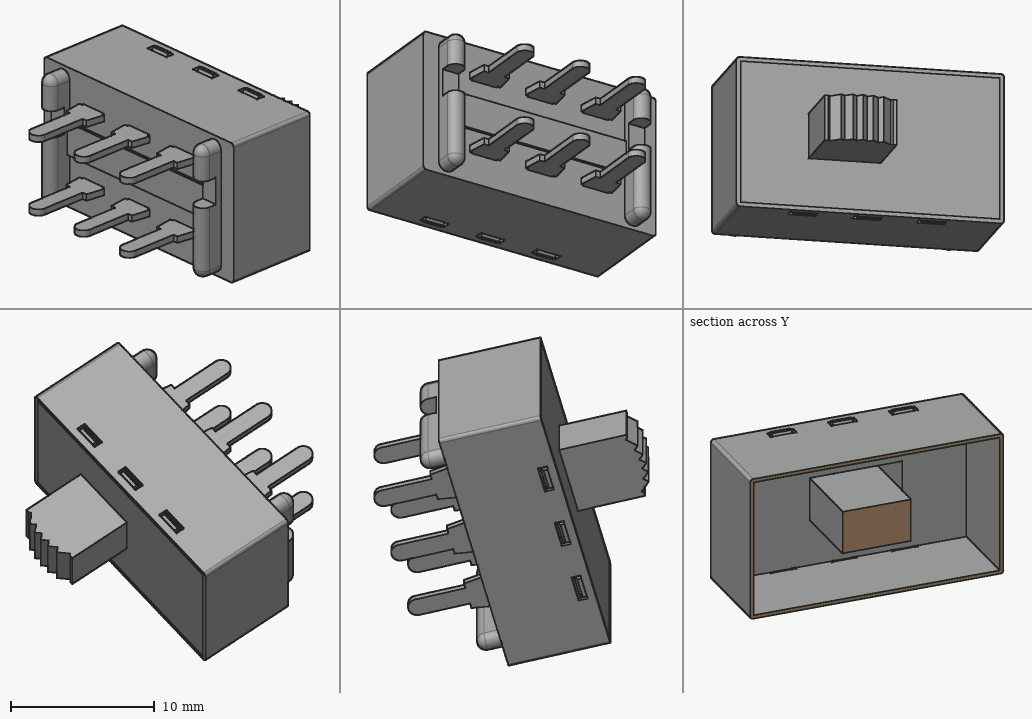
import cadquery as cq


housing_width = 19.13
housing_depth = 7.3
housing_height = 10.79
corner_radius = 0.25
wall = 0.3

cavity_width = housing_width - 2 * wall
cavity_height = housing_height - 2 * wall

column_pitch = 4.6
column_places = [-column_pitch, 0.0, column_pitch]

window_width = 1.95
window_length = 0.65
window_from_back = 0.6
window_back = housing_depth - window_from_back
window_front = window_back - window_length

cover_thickness = 1.1
cover_front = housing_depth - cover_thickness
lug_width = 1.5
lug_flat = 0.29
lug_proud = 0.05
lug_rise = wall + lug_proud

rib_width = 1.32
rib_radius = rib_width / 2
rib_length = 10.18
rib_reach = 1.78
rib_offset = 7.65
notch_floor = 0.5
notch_bottom = 0.44
notch_height = 2.07

strip_height = 2.53
strip_proud = 0.21

row_offset = 2.85
terminal_thickness = 0.5
neck_width = 2.07
neck_length = 0.13
shoulder_width = 2.5
shoulder_end = 1.65
pin_width = 1.3
pin_reach = 5.91

handle_width = 5.15
handle_height = 3.23
handle_offset = 1.84
grip_half = [
    (handle_width / 2, 4.82),
    (2.31, 4.82),
    (2.18, 4.69),
    (1.51, 5.35),
    (1.2, 5.05),
    (0.73, 5.53),
    (0.38, 5.18),
]
grip_crest = 5.59

carrier_width = handle_width
carrier_height = handle_height


def block(width, height, y_start, y_end, x=0.0, z=0.0):
    """Box centred at (x, z) that spans y_start to y_end."""
    middle = (x, (y_start + y_end) / 2, z)
    return cq.Workplane("XY").box(width, y_end - y_start, height).translate(middle)


def make_rib(x):
    """Standoff with round ends and a fully rounded tip, notched across."""
    straight = rib_length - rib_width
    axis_y = rib_radius - rib_reach
    body = (
        cq.Workplane("XZ")
        .center(x, 0)
        .slot2D(rib_length, rib_width, 90)
        .extrude(-axis_y)
    )
    tip_plane = cq.Plane(origin=(x, axis_y, -straight / 2), xDir=(0, -1, 0), normal=(0, 0, 1))
    tip = cq.Workplane(tip_plane).circle(rib_radius).extrude(straight)
    body = body.union(tip)
    for end in (-straight / 2, straight / 2):
        body = body.union(cq.Workplane("XY").sphere(rib_radius).translate((x, axis_y, end)))
    notch_middle = notch_bottom + notch_height / 2
    return body.cut(block(rib_width, notch_height, -rib_reach, -notch_floor, x, notch_middle))


def make_terminal(x, z):
    """Flat terminal: short neck, tapered shoulder and round-tipped pin."""
    pin_half = pin_width / 2
    round_start = pin_half - pin_reach
    return (
        cq.Workplane("XY", origin=(x, 0, z))
        .moveTo(-neck_width / 2, 0)
        .lineTo(-neck_width / 2, -neck_length)
        .lineTo(-shoulder_width / 2, -neck_length)
        .lineTo(-neck_width / 2, -shoulder_end)
        .lineTo(-pin_half, -shoulder_end)
        .lineTo(-pin_half, round_start)
        .threePointArc((0, -pin_reach), (pin_half, round_start))
        .lineTo(pin_half, -shoulder_end)
        .lineTo(neck_width / 2, -shoulder_end)
        .lineTo(shoulder_width / 2, -neck_length)
        .lineTo(neck_width / 2, -neck_length)
        .lineTo(neck_width / 2, 0)
        .close()
        .extrude(terminal_thickness / 2, both=True)
    )


def make_housing():
    """Cup with windows, ribs, strip and terminals."""
    body = block(housing_width, housing_height, 0, housing_depth).edges("|Y").fillet(corner_radius)
    body = body.cut(block(cavity_width, cavity_height, wall, housing_depth))
    for x in column_places:
        body = body.cut(block(window_width, housing_height, window_front, window_back, x))
    body = body.union(block(2 * rib_offset, strip_height, -strip_proud, 0))
    for x in (-rib_offset, rib_offset):
        body = body.union(make_rib(x))
    for x in column_places:
        for z in (-row_offset, row_offset):
            body = body.union(make_terminal(x, z))
    return body


def make_lug(x):
    """Snap lug on the upper side of the cover, ramped towards -Y."""
    base = cavity_height / 2
    return (
        cq.Workplane("YZ", origin=(x, 0, 0))
        .moveTo(window_back, base)
        .lineTo(window_back, base + lug_rise)
        .lineTo(window_back - lug_flat, base + lug_rise)
        .lineTo(cover_front, base)
        .close()
        .extrude(lug_width / 2, both=True)
    )


def make_cover():
    """Plate that closes the housing, with a hole for the handle and lugs in the windows."""
    body = block(cavity_width, cavity_height, cover_front, housing_depth)
    for x in column_places:
        lug = make_lug(x)
        body = body.union(lug).union(lug.mirror("XY"))
    return body.cut(block(handle_width, handle_height, cover_front, housing_depth, handle_offset))


def make_handle():
    """Post through the cover with a serrated grip."""
    left = [(-x, housing_depth + height) for x, height in grip_half]
    right = [(x, housing_depth + height) for x, height in reversed(grip_half)]
    crest = (0, housing_depth + grip_crest)
    foot_left = (-handle_width / 2, cover_front)
    foot_right = (handle_width / 2, cover_front)
    return (
        cq.Workplane("XY", origin=(handle_offset, 0, 0))
        .polyline([foot_left, *left, crest, *right, foot_right])
        .close()
        .extrude(handle_height / 2, both=True)
    )


def make_carrier():
    """Block in the middle of the cavity, under the cover and the handle."""
    return block(carrier_width, carrier_height, wall, cover_front)


housing = make_housing()
cover = make_cover()
handle = make_handle()
carrier = make_carrier()

result = cq.Compound.makeCompound([housing.val(), cover.val(), handle.val(), carrier.val()])